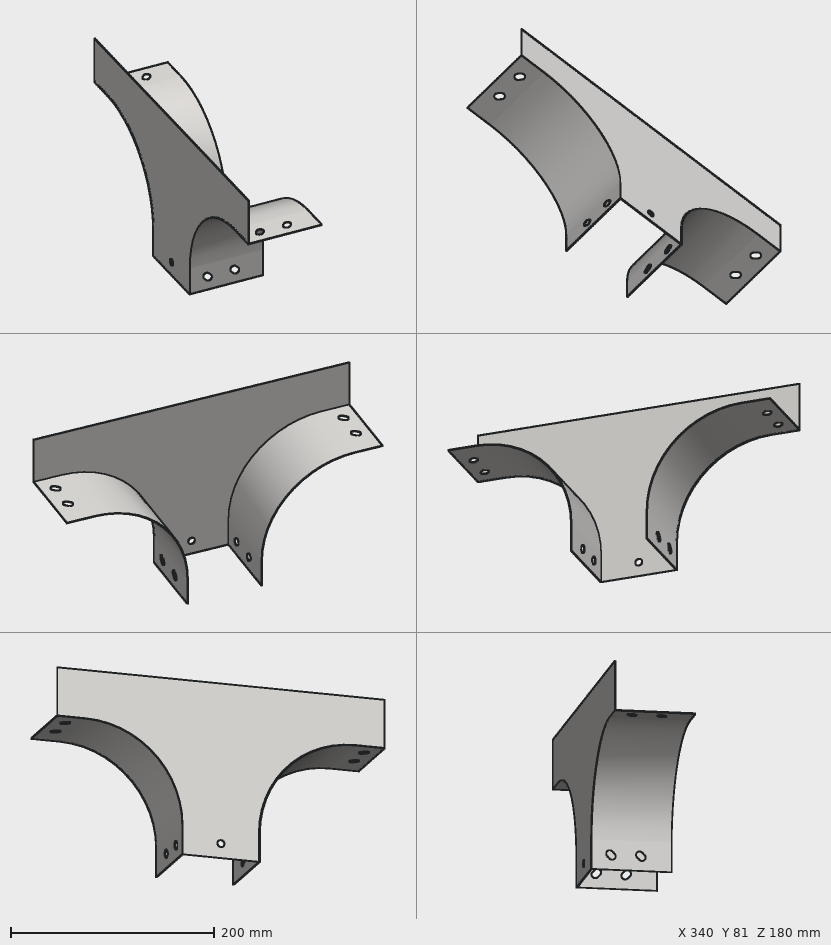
import cadquery as cq
import math

length = 340.0
depth = 81.0
height = 180.0
sheet = 1.0

stem_width = 81.0
bend_radius = 99.5
foot_height = 30.0
half_length = length / 2
half_stem = stem_width / 2
tab_z = foot_height + bend_radius
arc_x = half_stem + bend_radius

web_hole_diameter = 7.0
web_hole_z = 15.0
slot_width = 7.0
slot_length = 10.5
slot_tilt = 45.0
slot_setback = 15.0
slot_ys = (20.0, 50.0)


def make_web():
    """Flat tee plate with quarter-round inner corners."""
    mid = bend_radius * math.sin(math.pi / 4)
    plate = (
        cq.Workplane("XZ")
        .moveTo(-half_stem, 0)
        .lineTo(half_stem, 0)
        .lineTo(half_stem, foot_height)
        .threePointArc((arc_x - mid, foot_height + mid), (arc_x, tab_z))
        .lineTo(half_length, tab_z)
        .lineTo(half_length, height)
        .lineTo(-half_length, height)
        .lineTo(-half_length, tab_z)
        .lineTo(-arc_x, tab_z)
        .threePointArc((mid - arc_x, foot_height + mid), (-half_stem, foot_height))
        .close()
        .extrude(-sheet)
    )
    hole = (
        cq.Workplane("XZ")
        .center(0, web_hole_z)
        .circle(web_hole_diameter / 2)
        .extrude(-sheet)
    )
    return plate.cut(hole)


def make_flange():
    """Right-hand flange without slots: foot, quarter bend and tab along the tee edge."""
    outer_radius = bend_radius + sheet
    mid_inner = bend_radius * math.sin(math.pi / 4)
    mid_outer = outer_radius * math.sin(math.pi / 4)
    return (
        cq.Workplane("XZ")
        .moveTo(half_stem, 0)
        .lineTo(half_stem, foot_height)
        .threePointArc((arc_x - mid_inner, foot_height + mid_inner), (arc_x, tab_z))
        .lineTo(half_length, tab_z)
        .lineTo(half_length, tab_z + sheet)
        .lineTo(arc_x, tab_z + sheet)
        .threePointArc(
            (arc_x - mid_outer, foot_height + mid_outer),
            (half_stem - sheet, foot_height),
        )
        .lineTo(half_stem - sheet, 0)
        .close()
        .extrude(-depth)
    )


def make_tab_slots(centre_x):
    """Slot cutters for one tab; both tabs share the same tilt direction."""
    return (
        cq.Workplane("XY", origin=(0, 0, tab_z))
        .pushPoints([(centre_x, y) for y in slot_ys])
        .slot2D(slot_length, slot_width, -slot_tilt)
        .extrude(sheet)
    )


def make_foot_slots(start_x, tilt):
    """Slot cutters for one foot, starting at its lower X face."""
    return (
        cq.Workplane("YZ", origin=(start_x, 0, 0))
        .pushPoints([(y, slot_setback) for y in slot_ys])
        .slot2D(slot_length, slot_width, tilt)
        .extrude(sheet)
    )


right_flange = make_flange()
left_flange = right_flange.mirror("YZ")
result = make_web().union(right_flange).union(left_flange)

tab_slot_x = half_length - slot_setback
for centre_x in (-tab_slot_x, tab_slot_x):
    result = result.cut(make_tab_slots(centre_x))

result = result.cut(make_foot_slots(-half_stem, slot_tilt))
result = result.cut(make_foot_slots(half_stem - sheet, -slot_tilt))